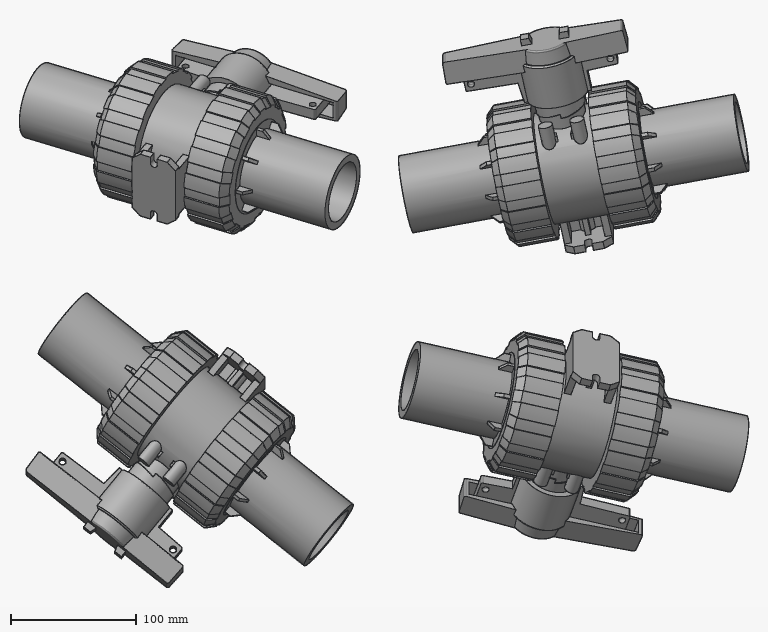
import cadquery as cq
import math


PIPE_LENGTH = 273.0
PIPE_RADIUS = 31.5
BORE_RADIUS = 24.98
BODY_RADIUS = 90.4 / 2

NUT_INNER_X = 23.5
NUT_OUTER_X = 60.5
NUT_CHAMFER_X = 54.5
NUT_HEIGHT = 114.7
NUT_END_RADIUS = 51.0
NUT_MOUTH_RADIUS = 79.0 / 2
NUT_MOUTH_DEPTH = 0.3
GROOVE_COUNT = 16
GROOVE_WIDTH = 9.5
GROOVE_DEPTH = 1.6
NUT_RADIUS = math.hypot(NUT_HEIGHT / 2, GROOVE_WIDTH / 2)

RIB_COUNT = 8
RIB_THICKNESS = 3.0
RIB_RADIUS = 37.7
RIB_CREST_X = 65.8
RIB_TIP_X = 71.8

FOOT_Y = -64.2
FOOT_THICKNESS = 6.3
FOOT_WIDTH = 38.8
FOOT_HEIGHT = 61.7
FOOT_CORNER_X = 7.5
FOOT_CORNER_Z = 6.3
FOOT_SLOT_WIDTH = 6.0
FOOT_SLOT_DEPTH = 9.0
FOOT_WALL_THICKNESS = 5.7
FOOT_WALL_HEIGHT = 45.3
FOOT_BOSS_RADIUS = 6.3
FOOT_RIB_THICKNESS = 4.5
FOOT_RIB_HEIGHT = 27.8

NECK_RADIUS = 40.0 / 2
NECK_STEP_Y = 50.8
STEM_RADIUS = 18.8
RAMP_RIGHT_HEIGHT = 3.5
RAMP_LEFT_HEIGHT = 2.5
RAMP_LEFT_END_X = -5.5
PIN_RADIUS = 11.5 / 2
PIN_X = 12.8
PIN_Z = 26.8
STOP_TOP_Y = 39.9
STOP_OUTER_Z = 28.5
STOP_BASE_X = 6.5
STOP_TIP_X = 5.5

HUB_RADIUS = 50.0 / 2
HUB_BOTTOM_Y = 63.3
HUB_TOP_Y = 101.0
HUB_CHAMFER = 1.5
CAP_BASE_RADIUS = 22.7
CAP_TOP_RADIUS = 21.0
CAP_EDGE_RADIUS = 1.5

BAR_LEFT_X = -63.5
BAR_RIGHT_X = 85.0
BAR_BOTTOM_Y = 94.0
BAR_TOP_Y = 113.0
BAR_LEFT_HALF_WIDTH = 11.2
BAR_RIGHT_HALF_WIDTH = 9.8
BAR_MIDDLE_HALF_WIDTH = 15.5
BAR_END_DRAFT = 0.8
BAR_SIDE_DRAFT = 1.5
BAR_CORNER_RADIUS = 1.5
BAR_TIP_RADIUS = 2.5
BAR_WALL = 3.8
BAR_CAVITY_WIDTH = 15.3

WEB_THICKNESS = 9.8
WEB_LEFT_X = -53.0
WEB_RIGHT_X = 71.0
WEB_END_Y = 82.2
WEB_ROOT_Y = 81.0
WEB_SKIRT_LEFT_X = -27.3
WEB_SKIRT_TOP_RIGHT_X = 29.0
WEB_SKIRT_BOTTOM_RIGHT_X = 27.3
WEB_CORNER_RADIUS = 1.5
LOCK_HOLE_RADIUS = 2.7
LOCK_HOLE_INSET = 5.2
LOCK_HOLE_Y = 88.0

TAB_TOP_Y = 118.5
TAB_OUTER_X = 19.5
TAB_TOP_INNER_X = 12.5
TAB_BASE_INNER_X = 11.0
TAB_THICKNESS = 9.3


def x_cylinder(radius, start, end):
    return cq.Workplane("YZ", origin=(start, 0, 0)).circle(radius).extrude(end - start)


def y_cylinder(radius, start, end, x=0.0, z=0.0):
    return cq.Workplane("XZ", origin=(x, start, z)).circle(radius).extrude(start - end)


def box(x_range, y_range, z_range):
    sides = [high - low for low, high in (x_range, y_range, z_range)]
    corner = cq.Vector(x_range[0], y_range[0], z_range[0])
    return cq.Workplane(cq.Solid.makeBox(*sides, corner))


def plate_xy(points, thickness):
    """Outline in X and Y, centred on Z = 0."""
    return cq.Workplane("XY").polyline(points).close().extrude(thickness / 2, both=True)


def plate_xz(points, start, end):
    """Outline in X and Z, reaching from Y = start to Y = end."""
    return cq.Workplane("XZ", origin=(0, start, 0)).polyline(points).close().extrude(start - end)


def both_ends(shape):
    return shape.union(shape.mirror("YZ"))


def nut_blank(depth):
    """Nut with its outside lowered by the given depth."""
    profile = [
        (NUT_INNER_X, 0),
        (NUT_INNER_X, NUT_RADIUS - depth),
        (NUT_CHAMFER_X, NUT_RADIUS - depth),
        (NUT_OUTER_X, NUT_END_RADIUS - depth),
        (NUT_OUTER_X, 0),
    ]
    return cq.Workplane("XY").polyline(profile).close().revolve(360, (0, 0, 0), (1, 0, 0))


def make_nut():
    half_groove = GROOVE_WIDTH / 2
    gripped = nut_blank(0)
    for index in range(GROOVE_COUNT):
        groove = box((0, NUT_OUTER_X), (0, 2 * NUT_RADIUS), (-half_groove, half_groove))
        gripped = gripped.cut(groove.rotate((0, 0, 0), (1, 0, 0), index * 360 / GROOVE_COUNT))
    nut = gripped.union(nut_blank(GROOVE_DEPTH))
    return nut.cut(x_cylinder(NUT_MOUTH_RADIUS, NUT_OUTER_X - NUT_MOUTH_DEPTH, NUT_OUTER_X))


def make_pipe_ribs():
    profile = [
        (NUT_OUTER_X - NUT_MOUTH_DEPTH, BORE_RADIUS),
        (NUT_OUTER_X - NUT_MOUTH_DEPTH, RIB_RADIUS),
        (RIB_CREST_X, RIB_RADIUS),
        (RIB_TIP_X, PIPE_RADIUS),
        (RIB_TIP_X, BORE_RADIUS),
    ]
    rib = plate_xy(profile, RIB_THICKNESS)
    ribs = rib
    for index in range(1, RIB_COUNT):
        ribs = ribs.union(rib.rotate((0, 0, 0), (1, 0, 0), index * 360 / RIB_COUNT))
    return ribs


def make_foot():
    half_width = FOOT_WIDTH / 2
    half_height = FOOT_HEIGHT / 2
    shoulder_x = half_width - FOOT_CORNER_X
    shoulder_z = half_height - FOOT_CORNER_Z
    plate_back_y = FOOT_Y + FOOT_THICKNESS
    outline = [
        (-half_width, -shoulder_z),
        (-shoulder_x, -half_height),
        (shoulder_x, -half_height),
        (half_width, -shoulder_z),
        (half_width, shoulder_z),
        (shoulder_x, half_height),
        (-shoulder_x, half_height),
        (-half_width, shoulder_z),
    ]
    foot = plate_xz(outline, FOOT_Y, plate_back_y)
    slot_radius = FOOT_SLOT_WIDTH / 2
    slot_centre_z = half_height - FOOT_SLOT_DEPTH + slot_radius
    slot = box((-slot_radius, slot_radius), (FOOT_Y, plate_back_y), (slot_centre_z, half_height))
    slot = slot.union(y_cylinder(slot_radius, FOOT_Y, plate_back_y, z=slot_centre_z))
    foot = foot.cut(slot).cut(slot.mirror("XY"))

    reach = (FOOT_Y, -PIPE_RADIUS)
    half_wall = FOOT_WALL_HEIGHT / 2
    half_rib = FOOT_RIB_THICKNESS / 2
    half_rib_height = FOOT_RIB_HEIGHT / 2
    wall = box((half_width - FOOT_WALL_THICKNESS, half_width), reach, (-half_wall, half_wall))
    foot = foot.union(both_ends(wall))
    foot = foot.union(box((-half_width, half_width), reach, (-half_rib, half_rib)))
    foot = foot.union(box((-half_rib, half_rib), reach, (-half_rib_height, half_rib_height)))
    return foot.union(y_cylinder(FOOT_BOSS_RADIUS, *reach))


def make_stem():
    neck = y_cylinder(NECK_RADIUS, NECK_STEP_Y, HUB_BOTTOM_Y)
    right_ramp = [
        (0, NECK_STEP_Y),
        (0, NECK_STEP_Y + RAMP_RIGHT_HEIGHT),
        (NECK_RADIUS, NECK_STEP_Y),
    ]
    left_ramp = [
        (-NECK_RADIUS, NECK_STEP_Y),
        (-NECK_RADIUS, NECK_STEP_Y + RAMP_LEFT_HEIGHT),
        (RAMP_LEFT_END_X, NECK_STEP_Y),
    ]
    for ramp in (right_ramp, left_ramp):
        neck = neck.cut(plate_xy(ramp, 2 * NECK_RADIUS))
    return neck.union(y_cylinder(STEM_RADIUS, PIPE_RADIUS, HUB_BOTTOM_Y))


def make_stops():
    """Stop pins and low stops, one of each in every quarter around the stem."""
    pin = y_cylinder(PIN_RADIUS, 0, NECK_STEP_Y, PIN_X, PIN_Z)
    low_stop_outline = [
        (STOP_BASE_X, STEM_RADIUS / 2),
        (STOP_BASE_X, STEM_RADIUS),
        (STOP_TIP_X, STOP_OUTER_Z),
        (PIN_X, STOP_OUTER_Z),
        (PIN_X, STEM_RADIUS / 2),
    ]
    quarter = pin.union(plate_xz(low_stop_outline, PIPE_RADIUS, STOP_TOP_Y))
    half = quarter.union(quarter.mirror("XY"))
    return both_ends(half)


def bar_outline(end_inset, side_inset):
    left_z = BAR_LEFT_HALF_WIDTH - side_inset
    right_z = BAR_RIGHT_HALF_WIDTH - side_inset
    middle_z = BAR_MIDDLE_HALF_WIDTH - side_inset
    left_x = BAR_LEFT_X + end_inset
    right_x = BAR_RIGHT_X - end_inset
    return [
        (left_x, -left_z),
        (0, -middle_z),
        (right_x, -right_z),
        (right_x, right_z),
        (0, middle_z),
        (left_x, left_z),
    ]


def make_bar():
    sketch = cq.Workplane("XZ", origin=(0, BAR_BOTTOM_Y, 0))
    sketch = sketch.polyline(bar_outline(0, 0)).close()
    sketch = sketch.workplane(offset=BAR_BOTTOM_Y - BAR_TOP_Y)
    sketch = sketch.polyline(bar_outline(BAR_END_DRAFT, BAR_SIDE_DRAFT)).close()
    bar = sketch.loft(ruled=True, combine=True)
    bar = bar.faces(">Y").edges(">X").fillet(BAR_TIP_RADIUS)
    bar = bar.faces(">Y").edges("<X").fillet(BAR_CORNER_RADIUS)
    for end in (">X", "<X"):
        bar = bar.faces("<Y").edges(end).fillet(BAR_CORNER_RADIUS)
    cavity = box(
        (BAR_LEFT_X + BAR_WALL, BAR_RIGHT_X - BAR_WALL),
        (BAR_BOTTOM_Y, BAR_TOP_Y - BAR_WALL),
        (-BAR_CAVITY_WIDTH / 2, BAR_CAVITY_WIDTH / 2),
    )
    return bar.cut(cavity)


def make_web():
    roof_y = BAR_TOP_Y - BAR_WALL / 2
    outline = [
        (WEB_LEFT_X, roof_y),
        (WEB_LEFT_X, WEB_END_Y),
        (WEB_SKIRT_LEFT_X, WEB_ROOT_Y),
        (WEB_SKIRT_LEFT_X, HUB_BOTTOM_Y),
        (WEB_SKIRT_BOTTOM_RIGHT_X, HUB_BOTTOM_Y),
        (WEB_SKIRT_TOP_RIGHT_X, WEB_ROOT_Y),
        (WEB_RIGHT_X, WEB_END_Y),
        (WEB_RIGHT_X, roof_y),
    ]
    web = plate_xy(outline, WEB_THICKNESS)
    for end_x in (WEB_LEFT_X, WEB_RIGHT_X):
        corner = cq.selectors.NearestToPointSelector((end_x, WEB_END_Y, 0))
        web = web.edges("|Z").edges(corner).fillet(WEB_CORNER_RADIUS)
    hole_centres = [
        (WEB_LEFT_X + LOCK_HOLE_INSET, LOCK_HOLE_Y),
        (WEB_RIGHT_X - LOCK_HOLE_INSET, LOCK_HOLE_Y),
    ]
    holes = cq.Workplane("XY").pushPoints(hole_centres).circle(LOCK_HOLE_RADIUS)
    return web.cut(holes.extrude(WEB_THICKNESS, both=True))


def make_handle():
    hub = y_cylinder(HUB_RADIUS, HUB_BOTTOM_Y, HUB_TOP_Y).faces(">Y").chamfer(HUB_CHAMFER)
    cap_profile = [
        (0, HUB_TOP_Y),
        (CAP_BASE_RADIUS, HUB_TOP_Y),
        (CAP_TOP_RADIUS, BAR_TOP_Y),
        (0, BAR_TOP_Y),
    ]
    cap = cq.Workplane("XY").polyline(cap_profile).close().revolve(360, (0, 0, 0), (0, 1, 0))
    cap = cap.faces(">Y").edges().fillet(CAP_EDGE_RADIUS)
    tab_profile = [
        (TAB_OUTER_X, BAR_TOP_Y - BAR_WALL),
        (TAB_OUTER_X, TAB_TOP_Y),
        (TAB_TOP_INNER_X, TAB_TOP_Y),
        (TAB_BASE_INNER_X, BAR_TOP_Y),
        (TAB_BASE_INNER_X, BAR_TOP_Y - BAR_WALL),
    ]
    tabs = both_ends(plate_xy(tab_profile, TAB_THICKNESS))
    return make_bar().union(make_web()).union(hub).union(cap).union(tabs)


half_pipe = PIPE_LENGTH / 2
valve = x_cylinder(PIPE_RADIUS, -half_pipe, half_pipe)
valve = valve.union(x_cylinder(BODY_RADIUS, -NUT_INNER_X, NUT_INNER_X))
valve = valve.union(both_ends(make_nut()))
valve = valve.union(both_ends(make_pipe_ribs()))
valve = valve.union(make_foot()).union(make_stops()).union(make_stem())
valve = valve.cut(x_cylinder(BORE_RADIUS, -half_pipe, half_pipe))
result = valve.union(make_handle())